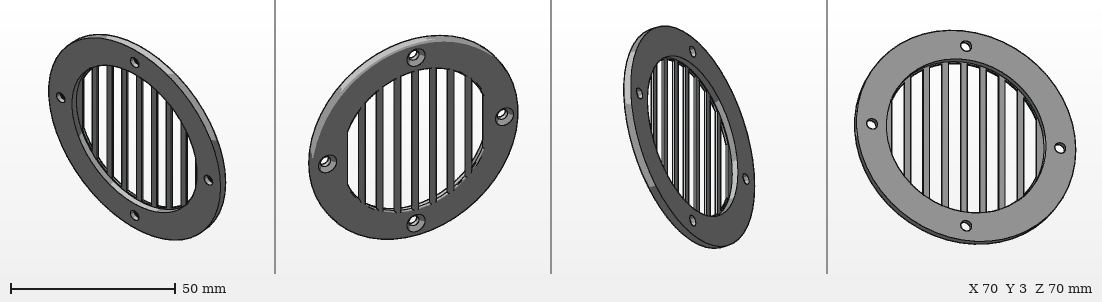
import cadquery as cq

outer_diameter = 70.0
thickness = 3.0
back_edge_radius = 1.0

recess_diameter = 50.95
grille_thickness = 1.0
recess_depth = thickness - grille_thickness

slot_field_diameter = 50.0
slot_count = 8
bar_pitch = 6.0
bar_width = 2.0
slot_width = bar_pitch - bar_width
slot_edge_radius = 0.4

hole_count = 4
hole_circle_radius = 30.0
hole_diameter = 3.4
countersink_diameter = 6.15
countersink_depth = 1.4

front_y = -thickness / 2
back_y = thickness / 2


def cylinder_from_front(diameter, depth):
    """Cylinder along Y that starts on the front face and runs toward the back."""
    front_plane = cq.Workplane("XZ", origin=(0, front_y, 0))
    return front_plane.circle(diameter / 2).extrude(-depth)


def make_ring_blank():
    """Disc with its back outer edge rounded."""
    disc = cylinder_from_front(outer_diameter, thickness)
    return disc.faces(">Y").edges().fillet(back_edge_radius)


def make_slots():
    """Parallel slots through the thickness, with their ends trimmed to a circle."""
    strips = (
        cq.Workplane("XZ", origin=(0, front_y, 0))
        .rarray(bar_pitch, 0.7, slot_count, 1)
        .rect(slot_width, slot_field_diameter)
        .extrude(-thickness)
    )
    return strips.intersect(cylinder_from_front(slot_field_diameter, thickness))


def round_slot_rims(grille):
    """Round the rims of the slots where they open onto the back face."""
    slot_rims = grille.faces(">Y").val().innerWires()
    rim_edges = [edge for rim in slot_rims for edge in rim.Edges()]
    return grille.newObject(rim_edges).fillet(slot_edge_radius)


def make_screw_hole():
    """Through hole along Y, with a conical countersink opening onto the back face."""
    countersink = (
        cq.Workplane("XZ", origin=(0, back_y - countersink_depth, 0))
        .circle(hole_diameter / 2)
        .workplane(offset=-countersink_depth)
        .circle(countersink_diameter / 2)
        .loft(ruled=True)
    )
    return cylinder_from_front(hole_diameter, thickness).union(countersink)


ring = make_ring_blank().cut(cylinder_from_front(recess_diameter, recess_depth))
result = round_slot_rims(ring.cut(make_slots()))

screw_hole = make_screw_hole().translate((hole_circle_radius, 0, 0))
for index in range(hole_count):
    angle = index * 360 / hole_count
    result = result.cut(screw_hole.rotate((0, 0, 0), (0, 1, 0), angle))